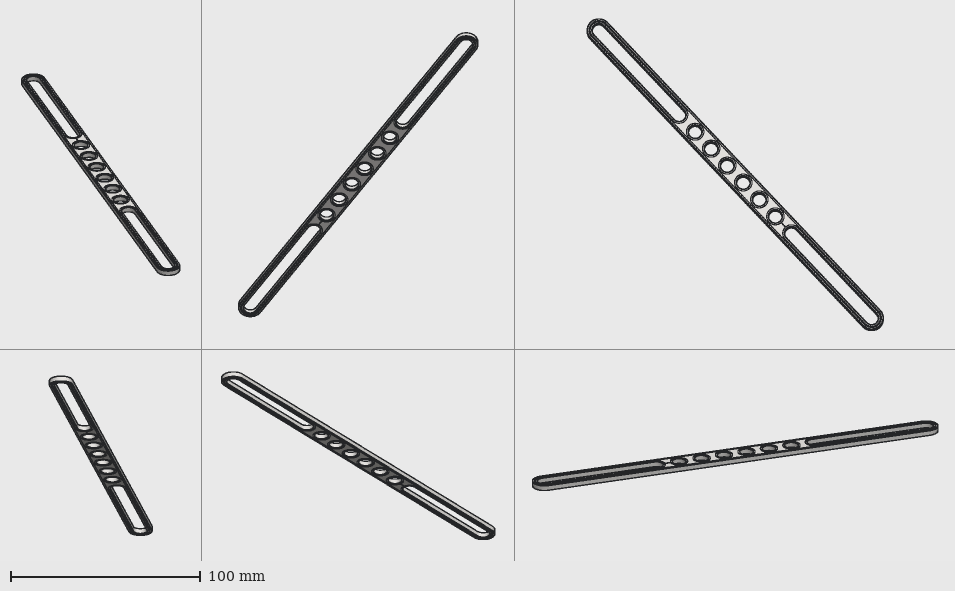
import cadquery as cq

pitch = 12.5
pitch_count = 18
length = pitch_count * pitch
width = pitch
thickness = pitch / 4
edge_chamfer = 0.3

hole_count = 6
opening_diameter = 7.0
rim_diameter = 9.2

slot_outer_centre = (length - width) / 2
slot_inner_centre = (hole_count + 1) * pitch / 2
slot_centre = (slot_outer_centre + slot_inner_centre) / 2
slot_travel = slot_outer_centre - slot_inner_centre

recess_depth = 0.2
wall_width = 1.1

rib_width = 0.2
rib_centre = -(slot_inner_centre - pitch / 2)


def make_blank():
    """Round-ended bar with its outer edges chamfered on both faces."""
    bar = cq.Workplane("XY").slot2D(length, width).extrude(thickness / 2, both=True)
    return bar.faces("|Z").edges().chamfer(edge_chamfer)


def opening_profiles(diameter, height=0):
    """Outlines of one diameter at every hole and slot, drawn at the given height."""
    return (
        cq.Workplane("XY", origin=(0, 0, height))
        .rarray(pitch, 1, hole_count, 1)
        .circle(diameter / 2)
        .pushPoints([(-slot_centre, 0), (slot_centre, 0)])
        .slot2D(slot_travel + diameter, diameter)
    )


def opening_prisms(diameter):
    """Full-thickness prisms of one diameter at every hole and slot position."""
    return opening_profiles(diameter).extrude(thickness / 2, both=True)


def mouth_cutter():
    """Flared material that chamfers the opening edges on the upper face."""
    profiles = opening_profiles(opening_diameter, thickness / 2 - edge_chamfer)
    return profiles.extrude(edge_chamfer, taper=-45)


def cut_openings(body):
    """Through holes and slots with chamfered edges on both faces."""
    mouths = mouth_cutter()
    return body.cut(opening_prisms(opening_diameter)).cut(mouths).cut(mouths.mirror("XY"))


def recess_cutter():
    """Recess material of both faces, leaving the rims and the rib standing."""
    core_thickness = thickness - 2 * recess_depth
    recess = (
        cq.Workplane("XY")
        .slot2D(length - 2 * wall_width, width - 2 * wall_width)
        .extrude(thickness / 2, both=True)
    )
    core = cq.Workplane("XY").box(length, width, core_thickness)
    rib = cq.Workplane("XY").box(pitch, rib_width, thickness).translate((rib_centre, 0, 0))
    return recess.cut(core).cut(opening_prisms(rim_diameter)).cut(rib)


result = cut_openings(make_blank().cut(recess_cutter()))